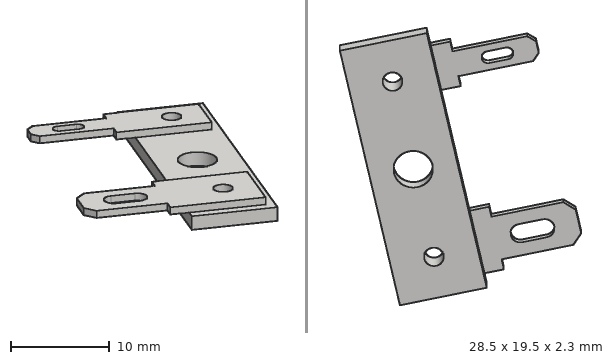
import cadquery as cq

bar_length = 28.5
bar_width = 9.0
bar_thickness = 1.5
bar_hole_diameter = 4.0

overall_depth = 19.5
terminal_thickness = 0.8
terminal_rear_y = -1.0
shoulder_y = -11.0
tip_y = -overall_depth
slot_front_y = -17.0
rivet_hole_diameter = 2.0
rivet_hole_offset = 9.8
hole_row_y = -bar_width / 2

narrow_center_x = -9.75
narrow_pad_width = 5.0
narrow_blade_width = 2.8
narrow_tip_chamfer = 0.75
narrow_slot_width = 1.28
narrow_slot_length = 3.25

wide_center_x = 9.75
wide_pad_width = 7.0
wide_blade_width = 4.8
wide_tip_chamfer = 1.05
wide_slot_width = 2.0
wide_slot_length = 4.5


def make_bar():
    return (
        cq.Workplane("XY")
        .center(0, hole_row_y)
        .rect(bar_length, bar_width)
        .circle(bar_hole_diameter / 2)
        .extrude(bar_thickness)
    )


def make_terminal(center_x, pad_width, blade_width, tip_chamfer, slot_width, slot_length):
    """Flat pad stepping down to a slotted blade with a chamfered tip."""
    half_pad = pad_width / 2
    half_blade = blade_width / 2
    half_tip = half_blade - tip_chamfer
    right_side = [
        (half_pad, terminal_rear_y),
        (half_pad, shoulder_y),
        (half_blade, shoulder_y),
        (half_blade, tip_y + tip_chamfer),
        (half_tip, tip_y),
    ]
    left_side = [(-x, y) for x, y in reversed(right_side)]
    plane = cq.Workplane("XY").workplane(offset=bar_thickness).center(center_x, 0)
    body = plane.polyline(right_side + left_side).close().extrude(terminal_thickness)
    slot = (
        plane.center(0, slot_front_y + slot_length / 2)
        .slot2D(slot_length, slot_width, 90)
        .extrude(terminal_thickness)
    )
    return body.cut(slot)


narrow_terminal = make_terminal(
    narrow_center_x, narrow_pad_width, narrow_blade_width,
    narrow_tip_chamfer, narrow_slot_width, narrow_slot_length,
)
wide_terminal = make_terminal(
    wide_center_x, wide_pad_width, wide_blade_width,
    wide_tip_chamfer, wide_slot_width, wide_slot_length,
)

rivet_holes = (
    cq.Workplane("XY")
    .pushPoints([(side * rivet_hole_offset, hole_row_y) for side in (-1, 1)])
    .circle(rivet_hole_diameter / 2)
    .extrude(bar_thickness + terminal_thickness)
)

result = make_bar().union(narrow_terminal).union(wide_terminal).cut(rivet_holes)